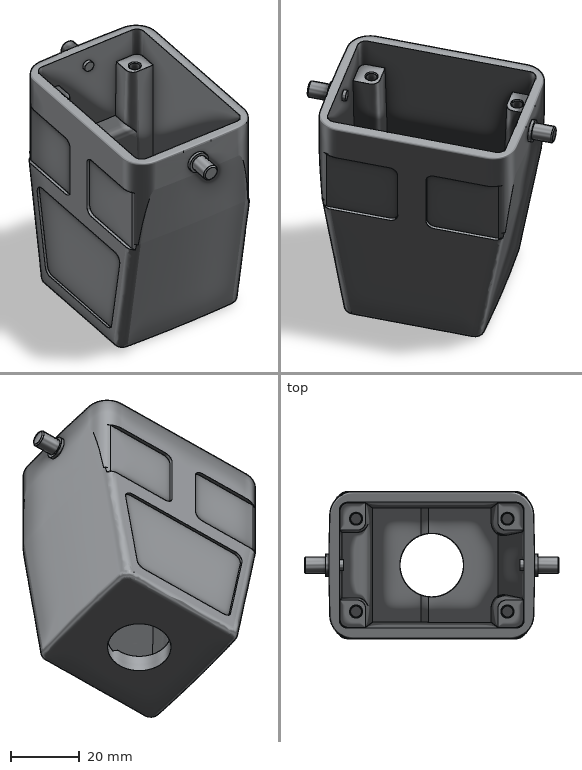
import cadquery as cq
import math

HEIGHT = 72.0
WIDTH_Y = 43.0
HALF_Y = WIDTH_Y / 2
RIM_CREST_X = 30.05
END_CROWN = 0.25
SHOULDER_Z = 61.6
BREAK_Z = 42.4
BREAK_CREST_X = 28.35
BOTTOM_CREST_X = 21.4
UPPER_CORNER_R = 7.0
LOWER_CORNER_R = 3.0
LEANING_TOP_R = 6.0
BOTTOM_FILLET = 2.0
RIM_FILLET = 0.6

WALL_DRAFT = 1.5
CAVITY_HALF_X = 27.0
CAVITY_HALF_Y = 18.4
CAVITY_CORNER_R = 2.5
FLOOR_Z = 4.0
FLOOR_STEP = 2.2
FLOOR_STEP_X = -3.1
CABLE_HOLE_D = 18.5

POST_TOP_Z = 63.0
POST_INNER_X = 19.3
POST_DRAFT = 2.0
POST_INNER_Y = 10.2
POST_CORNER_R = 2.5
SCREW_X = 22.1
SCREW_Y = 13.55
SCREW_D = 3.2
SCREW_CHAMFER = 0.3
SCREW_DEPTH = 15.0

RECESS_KNEE_Z = 48.0
RECESS_KNEE_X = 26.5
RECESS_FOOT_X = 19.4
SHELF_Z = 44.0
SHELF_EDGE_R = 2.8

POCKET_BOTTOM_Z = 40.5
POCKET_TOP_Z = 61.0
POCKET_INNER_X = 4.3
POCKET_DEPTH = 1.0
POCKET_CORNER_R = 2.5
BEVEL_START_X = 26.1
BEVEL_SLOPE = 0.42

LABEL_BOTTOM_Z = 5.4
LABEL_TOP_Z = 35.1
LABEL_BOTTOM_HALF_X = 16.8
LABEL_TOP_HALF_X = 21.8
LABEL_CORNER_R = 2.5
LABEL_DEPTH = 0.8

PIN_Z = 66.1
PIN_D = 4.9
PIN_TIP_X = 37.2
PIN_CHAMFER = 0.4
COLLAR_D = 6.6
COLLAR_X = 31.0
PIN_TAIL_D = 3.2
PIN_TAIL_X = 25.8

CLEARANCE = 2.0


def crown_drop(y):
    """How far the bowed end wall falls back at Y = y from its crest at Y = 0."""
    tangent_y = HALF_Y - UPPER_CORNER_R
    bow_radius = (tangent_y**2 + END_CROWN**2) / (2 * END_CROWN)
    return bow_radius - math.sqrt(bow_radius**2 - y**2)


def shell_section(z, crest_x, radius):
    """Closed outline at height z: straight long sides, rounded corners, bowed ends."""
    y_in = HALF_Y - radius
    end_x = crest_x - crown_drop(y_in)
    x_in = end_x - radius
    x_mid = x_in + radius * math.sqrt(0.5)
    y_mid = y_in + radius * math.sqrt(0.5)
    return (
        cq.Workplane("XY", origin=(0, 0, z))
        .moveTo(-x_in, -HALF_Y)
        .lineTo(x_in, -HALF_Y)
        .threePointArc((x_mid, -y_mid), (end_x, -y_in))
        .threePointArc((crest_x, 0), (end_x, y_in))
        .threePointArc((x_mid, y_mid), (x_in, HALF_Y))
        .lineTo(-x_in, HALF_Y)
        .threePointArc((-x_mid, y_mid), (-end_x, y_in))
        .threePointArc((-crest_x, 0), (-end_x, -y_in))
        .threePointArc((-x_mid, -y_mid), (-x_in, -HALF_Y))
        .close()
        .wires()
        .val()
    )


def straight_loft(*sections):
    """Solid with straight rulings between the given outlines."""
    return cq.Workplane(cq.Solid.makeLoft(list(sections), True))


def outer_body():
    """Upright rim whose ends are cut back by leaning walls, above a steeper lower part."""
    lower = straight_loft(
        shell_section(0, BOTTOM_CREST_X, LOWER_CORNER_R),
        shell_section(BREAK_Z, BREAK_CREST_X, LOWER_CORNER_R),
    )
    lower = lower.faces("<Z").edges().fillet(BOTTOM_FILLET)

    upright = straight_loft(
        shell_section(BREAK_Z, RIM_CREST_X, UPPER_CORNER_R),
        shell_section(HEIGHT, RIM_CREST_X, UPPER_CORNER_R),
    )
    upright = upright.faces(">Z").edges().fillet(RIM_FILLET)
    lean = (RIM_CREST_X - BREAK_CREST_X) / (SHOULDER_Z - BREAK_Z)
    leaning_top_x = RIM_CREST_X + lean * (HEIGHT - SHOULDER_Z)
    leaning = straight_loft(
        shell_section(BREAK_Z, BREAK_CREST_X, LOWER_CORNER_R),
        shell_section(HEIGHT, leaning_top_x, LEANING_TOP_R),
    )
    return lower.union(upright.intersect(leaning))


def corner_posts():
    """Four posts that thicken downwards by the draft angle and merge into the walls."""
    outer_x = RIM_CREST_X + CLEARANCE
    outer_y = HALF_Y + CLEARANCE
    size_x = outer_x - POST_INNER_X
    size_y = outer_y - POST_INNER_Y
    post = (
        cq.Workplane("XY", origin=(POST_INNER_X + size_x / 2, POST_INNER_Y + size_y / 2, POST_TOP_Z))
        .sketch()
        .rect(size_x, size_y)
        .vertices()
        .fillet(POST_CORNER_R)
        .finalize()
        .extrude(FLOOR_Z - POST_TOP_Z, taper=-POST_DRAFT)
    )
    pair = post.union(post.mirror("YZ"))
    return pair.union(pair.mirror("XZ"))


def floor_and_ends():
    """Stepped floor with the leaning wall of the +X recess and the shelf of the -X recess."""
    raised_floor_z = FLOOR_Z + FLOOR_STEP
    outer_x = RIM_CREST_X
    post_slope = math.tan(math.radians(POST_DRAFT))
    shelf_wall_x = POST_INNER_X - (POST_TOP_Z - SHELF_Z) * post_slope
    shelf_foot_x = POST_INNER_X - (POST_TOP_Z - FLOOR_Z) * post_slope
    return (
        cq.Workplane("XZ", origin=(0, HALF_Y, 0))
        .moveTo(-outer_x, 0)
        .lineTo(-outer_x, SHELF_Z)
        .lineTo(-shelf_wall_x - SHELF_EDGE_R, SHELF_Z)
        .radiusArc((-shelf_wall_x, SHELF_Z - SHELF_EDGE_R), SHELF_EDGE_R)
        .lineTo(-shelf_foot_x, FLOOR_Z)
        .lineTo(FLOOR_STEP_X, FLOOR_Z)
        .lineTo(FLOOR_STEP_X + FLOOR_STEP, raised_floor_z)
        .lineTo(RECESS_FOOT_X, raised_floor_z)
        .lineTo(RECESS_KNEE_X, RECESS_KNEE_Z)
        .lineTo(outer_x, RECESS_KNEE_Z)
        .lineTo(outer_x, 0)
        .close()
        .extrude(WIDTH_Y)
    )


def cavity():
    """Drafted rectangular pocket from the rim down to the floor, less what stands inside it."""
    walls = (
        cq.Workplane("XY", origin=(0, 0, HEIGHT))
        .sketch()
        .rect(2 * CAVITY_HALF_X, 2 * CAVITY_HALF_Y)
        .vertices()
        .fillet(CAVITY_CORNER_R)
        .finalize()
        .extrude(FLOOR_Z - HEIGHT, taper=WALL_DRAFT)
    )
    return walls.cut(corner_posts()).cut(floor_and_ends())


def screw_holes():
    """Blind holes with a chamfered mouth, one in the top of each post."""
    radius = SCREW_D / 2
    hole = (
        cq.Workplane("XZ")
        .polyline(
            [
                (0, 0),
                (radius + SCREW_CHAMFER, 0),
                (radius, -SCREW_CHAMFER),
                (radius, -SCREW_DEPTH),
                (0, -SCREW_DEPTH),
            ]
        )
        .close()
        .revolve(360, (0, 0, 0), (0, 1, 0))
        .val()
    )
    post_tops = cq.Workplane("XY", origin=(0, 0, POST_TOP_Z))
    places = post_tops.rect(2 * SCREW_X, 2 * SCREW_Y, forConstruction=True).vertices()
    return places.eachpoint(lambda place: hole.moved(place), combine=False)


def grip_pocket():
    """Pocket on the -Y face at +X, running out over the rounded corner."""
    floor_y = -HALF_Y + POCKET_DEPTH
    outer_x = RIM_CREST_X + CLEARANCE
    plan = (
        cq.Workplane("XY", origin=(0, 0, POCKET_BOTTOM_Z))
        .moveTo(POCKET_INNER_X, -HALF_Y - CLEARANCE)
        .lineTo(POCKET_INNER_X, floor_y)
        .lineTo(BEVEL_START_X, floor_y)
        .lineTo(outer_x, floor_y + BEVEL_SLOPE * (outer_x - BEVEL_START_X))
        .lineTo(outer_x, -HALF_Y - CLEARANCE)
        .close()
        .extrude(POCKET_TOP_Z - POCKET_BOTTOM_Z)
    )
    return plan.edges("|Y and <X").fillet(POCKET_CORNER_R)


def grip_pockets():
    """The four pockets, mirrored onto both ends of both long faces."""
    right = grip_pocket()
    front = right.union(right.mirror("YZ"))
    return front.union(front.mirror("XZ"))


def label_recess():
    """Shallow recess on the -Y face that follows the lean of the ends."""
    return (
        cq.Workplane("XZ", origin=(0, -HALF_Y + LABEL_DEPTH, 0))
        .polyline(
            [
                (-LABEL_BOTTOM_HALF_X, LABEL_BOTTOM_Z),
                (LABEL_BOTTOM_HALF_X, LABEL_BOTTOM_Z),
                (LABEL_TOP_HALF_X, LABEL_TOP_Z),
                (-LABEL_TOP_HALF_X, LABEL_TOP_Z),
            ]
        )
        .close()
        .extrude(LABEL_DEPTH + CLEARANCE)
        .edges("|Y")
        .fillet(LABEL_CORNER_R)
    )


def pin_cylinder(diameter, start_x, end_x):
    """Round bar on the pin axis between two X positions."""
    return cq.Workplane("YZ", origin=(start_x, 0, PIN_Z)).circle(diameter / 2).extrude(end_x - start_x)


def locking_pin():
    """Stepped pin through the +X end wall."""
    wall_x = (CAVITY_HALF_X + RIM_CREST_X) / 2
    shank = pin_cylinder(PIN_D, wall_x, PIN_TIP_X).faces(">X").chamfer(PIN_CHAMFER)
    collar = pin_cylinder(COLLAR_D, wall_x, COLLAR_X)
    tail = pin_cylinder(PIN_TAIL_D, PIN_TAIL_X, wall_x)
    return shank.union(collar).union(tail)


cable_hole = cq.Workplane("XY").circle(CABLE_HOLE_D / 2).extrude(HEIGHT / 2)
pin = locking_pin()

result = (
    outer_body()
    .cut(cavity())
    .cut(screw_holes())
    .cut(cable_hole)
    .cut(grip_pockets())
    .cut(label_recess())
    .union(pin)
    .union(pin.mirror("YZ"))
)